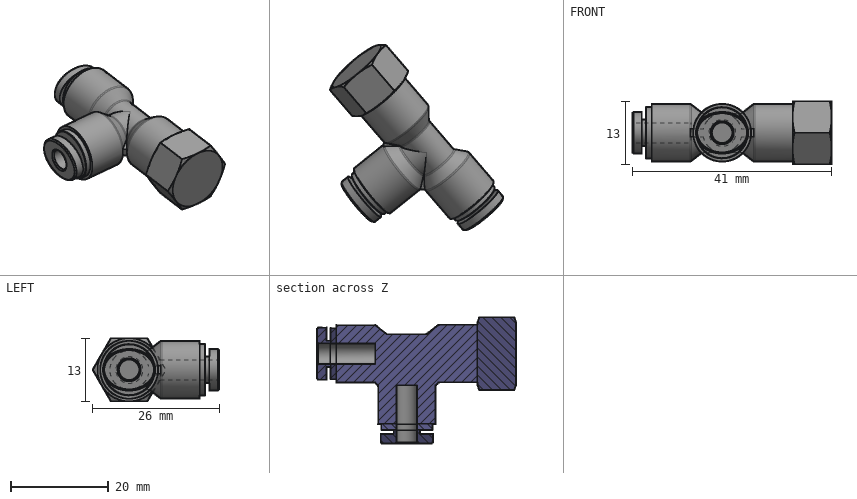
import cadquery as cq
import math

ARM_REACH = 18.5
BUTTON_THICKNESS = 2.0
BODY_REACH = 14.5
COLLAR_WIDTH = 1.2
CONE_START = 4.0
CONE_END = 6.5

BARREL_DIAMETER = 11.9
NECK_DIAMETER = 8.0
CONE_BLEND_RADIUS = 0.5
WEB_THICKNESS = 1.6
WEB_REACH = 6.55

COLLAR_DIAMETER = 10.6
COLLAR_CHAMFER = 0.1
STEM_DIAMETER = 5.5
STEM_FILLET = 0.1
BORE_DIAMETER = 4.2
SOCKET_DIAMETER = 4.18
BORE_CHAMFER = 0.3
BUTTON_LENGTH = 10.8
BUTTON_HEIGHT = 8.6
BUTTON_CHAMFER = 0.3
SOCKET_FLOOR = CONE_END

HEX_ACROSS_FLATS = 13.0
HEX_LENGTH = 8.0
HEX_CORNER_CHAMFER = 0.4

BARREL_RADIUS = BARREL_DIAMETER / 2
NECK_RADIUS = NECK_DIAMETER / 2
HEX_ACROSS_CORNERS = HEX_ACROSS_FLATS / math.cos(math.pi / 6)
COLLAR_FACE = BODY_REACH + COLLAR_WIDTH
BUTTON_BACK = ARM_REACH - BUTTON_THICKNESS
TOLERANCE = 0.01

LEFT_ARM = cq.Plane(origin=(0, 0, 0), xDir=(0, -1, 0), normal=(-1, 0, 0))
RIGHT_ARM = cq.Plane(origin=(0, 0, 0), xDir=(0, 1, 0), normal=(1, 0, 0))
BRANCH_ARM = cq.Plane(origin=(0, 0, 0), xDir=(1, 0, 0), normal=(0, -1, 0))
PUSH_FIT_ARMS = [LEFT_ARM, BRANCH_ARM]


def at(arm, distance):
    """Workplane square to an arm, at a distance from the crossing."""
    return cq.Workplane(arm).workplane(offset=distance)


def make_arm(arm):
    """Neck, cone and barrel of one arm, with both ends of the cone blended."""
    neck = at(arm, 0).circle(NECK_RADIUS).extrude(CONE_START)
    cone = (
        at(arm, CONE_START).circle(NECK_RADIUS)
        .workplane(offset=CONE_END - CONE_START).circle(BARREL_RADIUS).loft(ruled=True)
    )
    barrel = at(arm, CONE_END).circle(BARREL_RADIUS).extrude(BODY_REACH - CONE_END)
    arm_solid = neck.union(cone).union(barrel)
    blend_circles = [
        edge
        for edge in arm_solid.edges("%CIRCLE").vals()
        if CONE_START - TOLERANCE < edge.arcCenter().Length < CONE_END + TOLERANCE
    ]
    return arm_solid.newObject(blend_circles).fillet(CONE_BLEND_RADIUS)


def make_web(side):
    """Thin web between the branch and one side of the run, with a 45 degree outer face."""
    outer_corner = (side * WEB_REACH, -BARREL_RADIUS)
    branch_corner = (side * BARREL_RADIUS, -WEB_REACH)
    return (
        cq.Workplane("XY").moveTo(0, 0).lineTo(side * WEB_REACH, 0).lineTo(*outer_corner)
        .lineTo(*branch_corner).lineTo(0, -WEB_REACH).close()
        .extrude(WEB_THICKNESS / 2, both=True)
    )


def make_tee_body():
    """Three arms and two webs in one piece, with a blind tube socket in each push-fit arm."""
    body = make_arm(LEFT_ARM).union(make_arm(RIGHT_ARM)).union(make_arm(BRANCH_ARM))
    for side in (-1, 1):
        body = body.union(make_web(side))
    for arm in PUSH_FIT_ARMS:
        socket = at(arm, SOCKET_FLOOR).circle(SOCKET_DIAMETER / 2).extrude(BODY_REACH - SOCKET_FLOOR)
        body = body.cut(socket)
    return body.solids()


def make_collar(arm):
    """Ring on the end of the barrel that carries the socket's bore out to the button."""
    disc = (
        at(arm, BODY_REACH).circle(COLLAR_DIAMETER / 2).extrude(COLLAR_WIDTH)
        .faces(cq.selectors.DirectionMinMaxSelector(arm.zDir)).edges().chamfer(COLLAR_CHAMFER)
    )
    bore = at(arm, BODY_REACH).circle(SOCKET_DIAMETER / 2).extrude(COLLAR_WIDTH)
    return disc.cut(bore).solids()


def make_button(arm):
    """Elliptical push button on a short round stem that stands on the collar."""
    head = (
        at(arm, BUTTON_BACK)
        .ellipse(BUTTON_LENGTH / 2, BUTTON_HEIGHT / 2).extrude(BUTTON_THICKNESS)
        .faces(cq.selectors.DirectionMinMaxSelector(arm.zDir)).edges().chamfer(BUTTON_CHAMFER)
    )
    stem = at(arm, COLLAR_FACE).circle(STEM_DIAMETER / 2).extrude(BUTTON_BACK - COLLAR_FACE)
    button = head.union(stem)
    root_circles = [
        edge
        for edge in button.edges("%CIRCLE").vals()
        if abs(edge.arcCenter().Length - BUTTON_BACK) < TOLERANCE
    ]
    button = button.newObject(root_circles).fillet(STEM_FILLET)
    bore = at(arm, COLLAR_FACE).circle(BORE_DIAMETER / 2).extrude(ARM_REACH - COLLAR_FACE)
    mouth = (
        at(arm, ARM_REACH - BORE_CHAMFER).circle(BORE_DIAMETER / 2)
        .workplane(offset=BORE_CHAMFER).circle(BORE_DIAMETER / 2 + BORE_CHAMFER).loft()
    )
    return button.cut(bore).cut(mouth).solids()


def make_hex_end():
    """Hexagonal end with its corners turned off conically at both ends; flats face +Z and -Z."""
    hexagon = at(RIGHT_ARM, BODY_REACH).polygon(6, HEX_ACROSS_CORNERS).extrude(HEX_LENGTH)
    face_radius = HEX_ACROSS_FLATS / 2
    corner_radius = HEX_ACROSS_CORNERS / 2
    turned_blank = (
        cq.Workplane("XY")
        .polyline([
            (BODY_REACH, 0),
            (BODY_REACH, face_radius),
            (BODY_REACH + HEX_CORNER_CHAMFER, corner_radius),
            (BODY_REACH + HEX_LENGTH - HEX_CORNER_CHAMFER, corner_radius),
            (BODY_REACH + HEX_LENGTH, face_radius),
            (BODY_REACH + HEX_LENGTH, 0),
        ])
        .close().revolve(360, (0, 0, 0), (1, 0, 0))
    )
    return hexagon.intersect(turned_blank).solids()


tee_body = make_tee_body()
hex_end = make_hex_end()
collars = [make_collar(arm) for arm in PUSH_FIT_ARMS]
buttons = [make_button(arm) for arm in PUSH_FIT_ARMS]

bodies = [tee_body, hex_end, *collars, *buttons]
result = cq.Compound.makeCompound([body.val() for body in bodies])